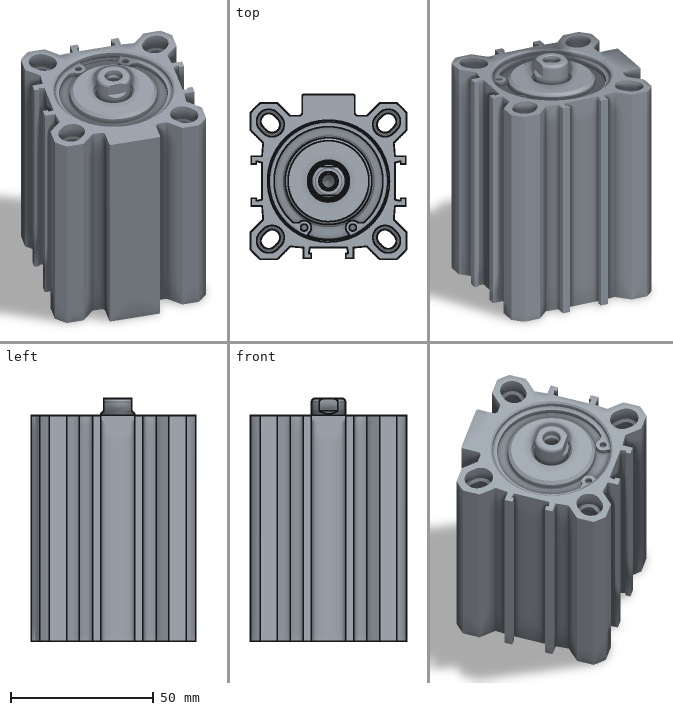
import cadquery as cq
import math

OVERALL_HEIGHT = 85.5
ROD_PROJECTION = 6.0
HOUSING_TOP = OVERALL_HEIGHT - ROD_PROJECTION
CLIP_DEPTH = 2.05
CLIP_THICKNESS = 1.8
CLIP_TOP = HOUSING_TOP - CLIP_DEPTH
PLATE_TOP = CLIP_TOP - CLIP_THICKNESS
COVER_THICKNESS = 8.55
COVER_BOTTOM = PLATE_TOP - COVER_THICKNESS

HOUSING_WIDTH = 55.0
HOUSING_DEPTH = 58.0
HALF_WIDTH = HOUSING_WIDTH / 2
LUG_RADIUS = 36.5
LUG_FACE = 6.1
WALL_EDGE = 23.0
WALL_MIDDLE = 23.4
LUG_OUTER = math.sqrt(LUG_RADIUS**2 - HALF_WIDTH**2)
LUG_INNER = LUG_OUTER - LUG_FACE
LUG_ROOT = LUG_INNER - (HALF_WIDTH - WALL_EDGE)

RIB_OUTER = 8.8
RIB_WEB = 6.5
RIB_NECK = 6.9
RIB_HOOK = 6.0
RIB_END = 27.2
HOOK_THICKNESS = 1.8

BOSS_HALF_WIDTH = 9.2
BOSS_FACE = HOUSING_DEPTH - HALF_WIDTH
BOSS_ROOT_FILLET = 1.2
BOSS_EDGE_FILLET = 0.6

HOLE_POSITION = 20.4
HOLE_STRETCH = 1.6
HOLE_WIDTH = 5.6
COUNTERBORE_WIDTH = 8.55
COUNTERBORE_DEPTH = 5.6

BORE_DIAMETER = 41.7
MOUTH_CHAMFER = 0.6
GROOVE_DIAMETER = 44.7

COVER_EDGE_CHAMFER = 0.3
HUB_DIAMETER = 30.5
HUB_DEPTH = 0.6
HUB_TOP = HOUSING_TOP - HUB_DEPTH
HUB_CHAMFER = 1.0
HUB_ROOT_FILLET = 0.7
WIPER_DIAMETER = 13.7
WIPER_DEPTH = 1.3
WIPER_CHAMFER = 0.5
RELIEF_DIAMETER = 12.6
RELIEF_DEPTH = 2.6
RELIEF_CHAMFER = 0.25

ROD_DIAMETER = 12.0
ROD_EDGE_FILLET = 1.3
FLAT_WIDTH = 10.0
FLAT_LENGTH = 4.45
ROD_COUNTERBORE_DIAMETER = 6.2
ROD_COUNTERBORE_DEPTH = 2.4
ROD_MOUTH_CHAMFER = 0.25
ROD_HOLE_DIAMETER = 5.0
ROD_HOLE_DEPTH = 10.3
DRILL_TIP_ANGLE = 118.0

CLIP_INNER_DIAMETER = 38.3
EYE_X = 8.55
EYE_Y = -16.3
EYE_RADIUS = 2.5
EYE_HOLE_DIAMETER = 2.5
EYE_SHOULDER_X = 12.5
EYE_SHOULDER_Y = -14.6
EYE_SHOULDER_DEPTH = 3.3
CLIP_GAP_HALF_ANGLE = 20.9


def cylinder(diameter, bottom, top):
    """Solid cylinder on the Z axis between two heights."""
    return cq.Workplane("XY").workplane(offset=bottom).circle(diameter / 2).extrude(top - bottom)


def slab(length, width, bottom, top, x=0.0, y=0.0):
    """Rectangular block centred on (x, y) between two heights."""
    return (
        cq.Workplane("XY")
        .workplane(offset=bottom)
        .center(x, y)
        .rect(length, width)
        .extrude(top - bottom)
    )


def side_points(ribbed):
    """Corners of the -Y side, from the lug at -X to the lug at +X."""
    half = [(-LUG_OUTER, HALF_WIDTH), (-LUG_INNER, HALF_WIDTH), (-LUG_ROOT, WALL_EDGE)]
    if ribbed:
        hook_root = RIB_END - HOOK_THICKNESS
        half += [
            (-RIB_OUTER, WALL_MIDDLE),
            (-RIB_OUTER, RIB_END),
            (-RIB_HOOK, RIB_END),
            (-RIB_HOOK, hook_root),
            (-RIB_NECK, hook_root),
            (-RIB_WEB, WALL_MIDDLE),
        ]
    mirrored = [(-along, out) for along, out in reversed(half)]
    return [(along, -out) for along, out in half + mirrored]


def turned(point, quarter):
    """Point turned about the housing axis by a number of quarter turns."""
    x, y = point
    for _ in range(quarter):
        x, y = -y, x
    return x, y


def housing_section():
    """Counter-clockwise outline: three ribbed sides, one plain side, and an arc on each lug."""
    arc_middle = (LUG_RADIUS * math.sqrt(0.5), -LUG_RADIUS * math.sqrt(0.5))
    next_side = (HALF_WIDTH, -LUG_OUTER)
    outline = cq.Workplane("XY").moveTo(-LUG_OUTER, -HALF_WIDTH)
    for quarter, ribbed in enumerate([True, True, False, True]):
        for point in side_points(ribbed)[1:]:
            outline = outline.lineTo(*turned(point, quarter))
        outline = outline.threePointArc(turned(arc_middle, quarter), turned(next_side, quarter))
    return outline.close()


def port_boss():
    depth = BOSS_FACE - WALL_EDGE
    boss = slab(2 * BOSS_HALF_WIDTH, depth, 0, HOUSING_TOP, y=WALL_EDGE + depth / 2)
    return boss.edges("|Z and >Y").fillet(BOSS_EDGE_FILLET)


def mounting_slots(width, bottom, top):
    """Four elongated holes, each stretched towards the housing axis."""
    slots = cq.Workplane("XY")
    for quarter in range(4):
        slot = (
            cq.Workplane("XY")
            .workplane(offset=bottom)
            .transformed(rotate=(0, 0, 45 + 90 * quarter))
            .center(HOLE_POSITION * math.sqrt(2), 0)
            .slot2D(width + HOLE_STRETCH, width)
            .extrude(top - bottom)
        )
        slots = slots.add(slot)
    return slots.combine()


def make_housing():
    body = housing_section().extrude(HOUSING_TOP)
    body = body.union(port_boss())
    for side in (-1, 1):
        root = cq.selectors.NearestToPointSelector((side * BOSS_HALF_WIDTH, WALL_EDGE, HOUSING_TOP / 2))
        body = body.edges(root).fillet(BOSS_ROOT_FILLET)
    body = body.cut(mounting_slots(HOLE_WIDTH, 0, HOUSING_TOP))
    body = body.cut(mounting_slots(COUNTERBORE_WIDTH, HOUSING_TOP - COUNTERBORE_DEPTH, HOUSING_TOP))
    body = body.cut(cylinder(BORE_DIAMETER, COVER_BOTTOM, HOUSING_TOP))
    mouth = cq.selectors.NearestToPointSelector((0, 0, HOUSING_TOP))
    body = body.faces(">Z").edges("%CIRCLE").edges(mouth).chamfer(MOUTH_CHAMFER)
    return body.cut(cylinder(GROOVE_DIAMETER, PLATE_TOP, CLIP_TOP))


def make_cover():
    outer = BORE_DIAMETER / 2
    hub = HUB_DIAMETER / 2
    wiper = WIPER_DIAMETER / 2
    relief = RELIEF_DIAMETER / 2
    guide = ROD_DIAMETER / 2
    fillet_middle = HUB_ROOT_FILLET * (1 - math.sqrt(0.5))
    profile = (
        cq.Workplane("XZ")
        .moveTo(guide, COVER_BOTTOM)
        .lineTo(outer, COVER_BOTTOM)
        .lineTo(outer, PLATE_TOP - COVER_EDGE_CHAMFER)
        .lineTo(outer - COVER_EDGE_CHAMFER, PLATE_TOP)
        .lineTo(hub + HUB_ROOT_FILLET, PLATE_TOP)
        .threePointArc((hub + fillet_middle, PLATE_TOP + fillet_middle), (hub, PLATE_TOP + HUB_ROOT_FILLET))
        .lineTo(hub, HUB_TOP - HUB_CHAMFER)
        .lineTo(hub - HUB_CHAMFER, HUB_TOP)
        .lineTo(wiper + WIPER_CHAMFER, HUB_TOP)
        .lineTo(wiper, HUB_TOP - WIPER_CHAMFER)
        .lineTo(wiper, HUB_TOP - WIPER_DEPTH)
        .lineTo(relief + RELIEF_CHAMFER, HUB_TOP - WIPER_DEPTH)
        .lineTo(relief, HUB_TOP - WIPER_DEPTH - RELIEF_CHAMFER)
        .lineTo(relief, HUB_TOP - RELIEF_DEPTH)
        .lineTo(guide, HUB_TOP - RELIEF_DEPTH)
        .close()
    )
    return profile.revolve(360, (0, 0, 0), (0, 1, 0))


def wrench_flat(side):
    """Cutter for one flat, ending below in a 45 degree run-out."""
    flat = FLAT_WIDTH / 2
    bottom = OVERALL_HEIGHT - FLAT_LENGTH
    reach = ROD_DIAMETER
    points = [
        (side * flat, OVERALL_HEIGHT),
        (side * flat, bottom),
        (side * reach, bottom - (reach - flat)),
        (side * reach, OVERALL_HEIGHT),
    ]
    return cq.Workplane("YZ").polyline(points).close().extrude(ROD_DIAMETER / 2, both=True)


def rod_hole():
    """Stepped blind hole with a chamfered mouth, a 45 degree step and a conical drill tip."""
    radius = ROD_HOLE_DIAMETER / 2
    counterbore = ROD_COUNTERBORE_DIAMETER / 2
    ledge = OVERALL_HEIGHT - ROD_COUNTERBORE_DEPTH
    bottom = OVERALL_HEIGHT - ROD_HOLE_DEPTH
    tip = bottom - radius / math.tan(math.radians(DRILL_TIP_ANGLE / 2))
    points = [
        (0, OVERALL_HEIGHT),
        (counterbore + ROD_MOUTH_CHAMFER, OVERALL_HEIGHT),
        (counterbore, OVERALL_HEIGHT - ROD_MOUTH_CHAMFER),
        (counterbore, ledge),
        (radius, ledge - (counterbore - radius)),
        (radius, bottom),
        (0, tip),
    ]
    return cq.Workplane("XZ").polyline(points).close().revolve(360, (0, 0, 0), (0, 1, 0))


def make_rod():
    rod = cylinder(ROD_DIAMETER, COVER_BOTTOM, OVERALL_HEIGHT)
    rod = rod.faces(">Z").edges().fillet(ROD_EDGE_FILLET)
    for side in (-1, 1):
        rod = rod.cut(wrench_flat(side))
    return rod.cut(rod_hole())


def clip_gap():
    """Triangular prism that opens the ring on the -Y side."""
    reach = GROOVE_DIAMETER
    half_width = reach * math.tan(math.radians(CLIP_GAP_HALF_ANGLE))
    points = [(0, 0), (-half_width, -reach), (half_width, -reach)]
    prism = cq.Workplane("XY").workplane(offset=PLATE_TOP).polyline(points).close()
    return prism.extrude(CLIP_THICKNESS)


def clip_eye(side):
    """Plier eye with the shoulder that joins it to the ring."""
    eye = cylinder(2 * EYE_RADIUS, PLATE_TOP, CLIP_TOP).translate((side * EYE_X, EYE_Y, 0))
    shoulder = slab(
        EYE_SHOULDER_X - EYE_X,
        EYE_SHOULDER_DEPTH,
        PLATE_TOP,
        CLIP_TOP,
        x=side * (EYE_SHOULDER_X + EYE_X) / 2,
        y=EYE_SHOULDER_Y - EYE_SHOULDER_DEPTH / 2,
    )
    return eye.union(shoulder)


def make_clip():
    ring = cylinder(GROOVE_DIAMETER, PLATE_TOP, CLIP_TOP)
    ring = ring.cut(cylinder(CLIP_INNER_DIAMETER, PLATE_TOP, CLIP_TOP)).cut(clip_gap())
    for side in (-1, 1):
        hole = cylinder(EYE_HOLE_DIAMETER, PLATE_TOP, CLIP_TOP).translate((side * EYE_X, EYE_Y, 0))
        ring = ring.union(clip_eye(side)).cut(hole)
    return ring


housing = make_housing()
cover = make_cover()
rod = make_rod()
retaining_ring = make_clip()

bodies = [housing, cover, rod, retaining_ring]
result = cq.Compound.makeCompound([body.solids().val() for body in bodies])